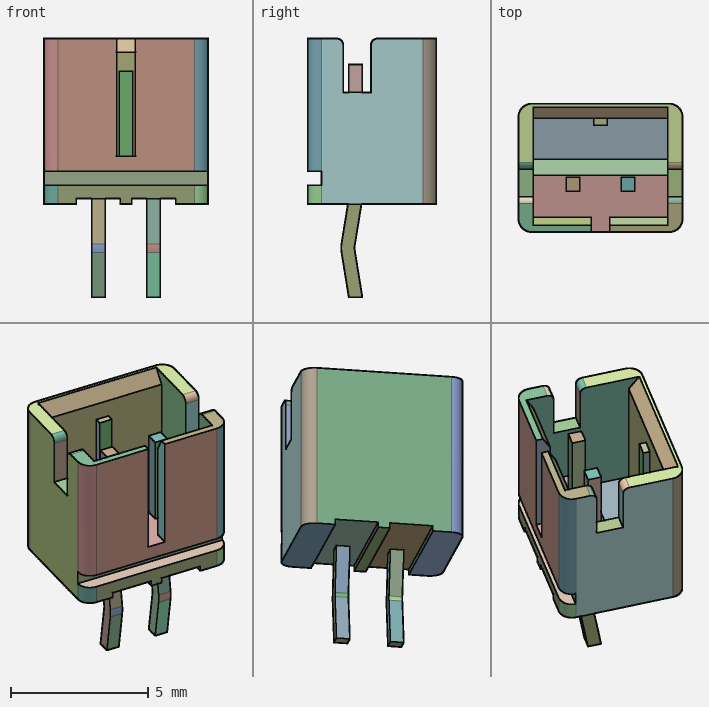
import cadquery as cq
import math

width = 6.0
depth = 4.7
top_z = 9.45
bottom_z = 3.4
corner_radius = 0.5
front_y = -depth / 2

side_wall = 0.55
end_wall = 0.54
floor_z = 5.15
floor_drop = 0.7
slope_top_y = front_y + 2.08
slope_bottom_y = front_y + 2.66
mouth_bevel_height = 0.51
front_bevel = 0.28
rear_bevel = 0.41

key_slot_width = 0.68
side_slot_width = 1.0
side_slot_y = front_y + 1.3 + side_slot_width / 2
side_slot_floor_z = 7.48
side_slot_round = 0.25
rib_width = 0.5
rib_depth = 0.255
rib_top_z = 8.26

groove_bottom_z = 4.09
groove_top_z = 4.6
groove_depth = 0.5
channel_height = 0.2
channel_inner_x = 0.22
channel_outer_x = 1.81

pin_size = 0.5
pin_pitch = 2.0
pin_y = front_y + 1.75
pin_top_z = 8.505
bend_z = 1.805
bend_angle = math.radians(9.2)
bend_inner_radius = 0.5

cavity_width = width - 2 * side_wall
cavity_front_y = front_y + end_wall
cavity_rear_y = depth / 2 - end_wall
rear_floor_z = floor_z - floor_drop
channel_top_z = bottom_z + channel_height


def box(x_min, x_max, y_min, y_max, z_min, z_max):
    return cq.Workplane("XY").box(
        x_max - x_min, y_max - y_min, z_max - z_min, centered=False
    ).translate((x_min, y_min, z_min))


def extrude_across(points, x_width):
    """Extrude a closed YZ outline symmetrically about X = 0."""
    return cq.Workplane("YZ").polyline(points).close().extrude(x_width / 2, both=True)


def make_cavity():
    """Stepped cavity with bevelled front and rear lips."""
    bevel_z = top_z - mouth_bevel_height
    outline = [
        (cavity_front_y, floor_z),
        (slope_top_y, floor_z),
        (slope_bottom_y, rear_floor_z),
        (cavity_rear_y, rear_floor_z),
        (cavity_rear_y, bevel_z),
        (cavity_rear_y + rear_bevel, top_z),
        (cavity_front_y - front_bevel, top_z),
        (cavity_front_y, bevel_z),
    ]
    return extrude_across(outline, cavity_width)


def make_side_slot():
    """Slot through both side walls, flaring into rounded upper edges."""
    half_width = side_slot_width / 2
    flare_z = top_z - side_slot_round
    mouth_half = half_width + side_slot_round
    arc_offset = side_slot_round * (1 - math.sqrt(0.5))
    arc_y = half_width + arc_offset
    arc_z = top_z - arc_offset
    return (
        cq.Workplane("YZ")
        .moveTo(side_slot_y - half_width, side_slot_floor_z)
        .lineTo(side_slot_y + half_width, side_slot_floor_z)
        .lineTo(side_slot_y + half_width, flare_z)
        .threePointArc((side_slot_y + arc_y, arc_z), (side_slot_y + mouth_half, top_z))
        .lineTo(side_slot_y - mouth_half, top_z)
        .threePointArc((side_slot_y - arc_y, arc_z), (side_slot_y - half_width, flare_z))
        .close()
        .extrude(width / 2, both=True)
    )


def make_housing():
    body = (
        cq.Workplane("XY", origin=(0, 0, bottom_z))
        .rect(width, depth)
        .extrude(top_z - bottom_z)
        .edges("|Z")
        .fillet(corner_radius)
    )
    key_slot = box(
        -key_slot_width / 2, key_slot_width / 2, front_y, cavity_front_y, floor_z, top_z
    )
    groove = box(
        -width / 2, width / 2, front_y, front_y + groove_depth, groove_bottom_z, groove_top_z
    )
    body = body.cut(make_cavity()).cut(make_side_slot()).cut(key_slot).cut(groove)
    for x_min in (-channel_outer_x, channel_inner_x):
        x_max = x_min + channel_outer_x - channel_inner_x
        body = body.cut(box(x_min, x_max, front_y, depth / 2, bottom_z, channel_top_z))
    rib = box(
        -rib_width / 2, rib_width / 2,
        cavity_rear_y - rib_depth, cavity_rear_y,
        rear_floor_z, rib_top_z,
    )
    return body.union(rib)


def make_pin(x):
    """Square pin: straight inside the housing, with a rounded kink below it."""
    front = pin_y - pin_size / 2
    rear = pin_y + pin_size / 2
    slope = math.tan(bend_angle)
    kink_shift = (channel_top_z - bend_z) * slope
    tip_shift = kink_shift - bend_z * slope
    outline = [
        (front, pin_top_z),
        (rear, pin_top_z),
        (rear, channel_top_z),
        (rear - kink_shift, bend_z),
        (rear - tip_shift, 0),
        (front - tip_shift, 0),
        (front - kink_shift, bend_z),
        (front, channel_top_z),
    ]
    pin = extrude_across(outline, pin_size)
    kink_edges = {
        rear: bend_inner_radius,
        front: bend_inner_radius + pin_size,
    }
    for side_y, radius in kink_edges.items():
        kink = cq.selectors.NearestToPointSelector((0, side_y - kink_shift, bend_z))
        pin = pin.edges(kink).fillet(radius)
    return pin.translate((x, 0, 0))


result = make_housing()
for pin_x in (-pin_pitch / 2, pin_pitch / 2):
    result = result.union(make_pin(pin_x))